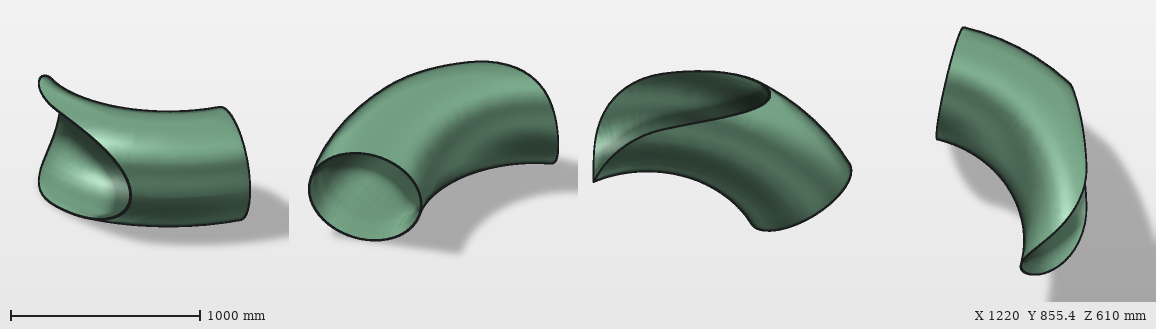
import math

import cadquery as cq

pipe_diameter = 610.0
wall = 5.0
bend_radius = 1.5 * pipe_diameter
tangent_x = 534.0

pipe_radius = pipe_diameter / 2
inner_bend_radius = bend_radius - pipe_radius
outer_bend_radius = bend_radius + pipe_radius


def parabola_y(x):
    """Plan of the line where a bend and a tangent run pipe of equal diameter meet."""
    return -bend_radius + x**2 / (4 * bend_radius)


def parabola_slope(x):
    return x / (2 * bend_radius)


def quarter_bend(section_radius):
    """Solid bend from the +X axis round to the -Y axis."""
    return (
        cq.Workplane("XZ")
        .center(bend_radius, 0)
        .circle(section_radius)
        .revolve(90, (-bend_radius, 0, 0), (-bend_radius, -1, 0))
    )


def trim_block():
    """Region kept by the trim, bounded by the rounded tip and the parabola."""
    tip = cq.Vector(0, -inner_bend_radius)
    tangent = cq.Vector(tangent_x, parabola_y(tangent_x))
    end = cq.Vector(outer_bend_radius, parabola_y(outer_bend_radius))

    slope_angle = math.atan(parabola_slope(tangent_x))
    normal = cq.Vector(-math.sin(slope_angle), math.cos(slope_angle))
    chord = tip - tangent
    tip_radius = chord.dot(chord) / (2 * chord.dot(normal))
    arc_centre = tangent + normal * tip_radius
    arc_bottom = arc_centre - cq.Vector(0, tip_radius)

    middle_x = (tangent.x + end.x) / 2
    middle = cq.Vector(middle_x, tangent.y + parabola_slope(tangent_x) * (middle_x - tangent.x))

    return (
        cq.Workplane("XY")
        .moveTo(tip.x, tip.y)
        .threePointArc(arc_bottom, tangent)
        .bezier([tangent, middle, end])
        .lineTo(outer_bend_radius, 0)
        .lineTo(0, 0)
        .close()
        .extrude(pipe_diameter, both=True)
    )


elbow = quarter_bend(pipe_radius).cut(quarter_bend(pipe_radius - wall))
result = elbow.intersect(trim_block())